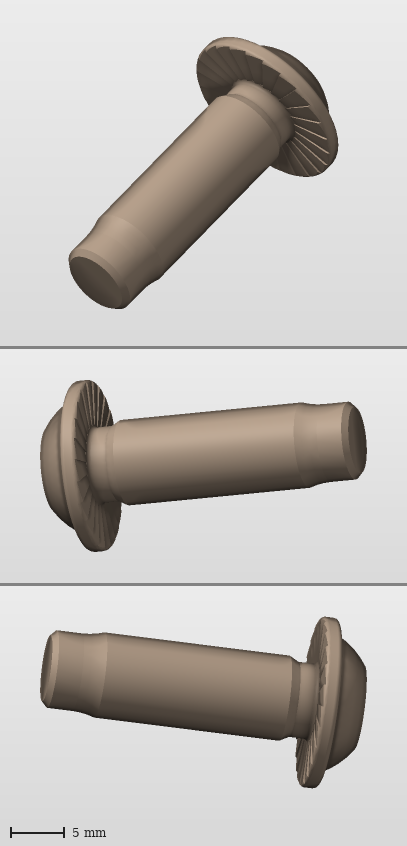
import cadquery as cq
import math

total_length = 29.6
head_height = 4.6
tip_y = head_height - total_length

flange_diameter = 16.0
flange_radius = flange_diameter / 2
flange_thickness = 1.6
flange_edge_radius = 0.45
dome_base_radius = 6.5
dome_top_radius = 3.97

tooth_count = 24
tooth_depth_at_rim = 0.192
seat_dish_height = 0.27

shank_radius = 4.0
neck_radius = 3.52
neck_length = 1.6
neck_cone_length = 0.9
neck_fillet_radius = 0.35
neck_fillet_end = 0.18

tip_radius = 3.65
tip_length = 2.9
tip_chamfer = 0.53
flare_length = 2.13


def make_head():
    """Flange and dome revolved about Y, with both flange rims rounded."""
    dome_height = head_height - flange_thickness
    centre_height = (dome_top_radius**2 + dome_height**2 - dome_base_radius**2) / (2 * dome_height)
    sphere_radius = math.hypot(dome_base_radius, centre_height)
    middle_height = dome_height / 2
    middle_radius = math.sqrt(sphere_radius**2 - (middle_height - centre_height) ** 2)

    flange = (
        cq.Workplane("XZ")
        .circle(flange_radius)
        .extrude(-flange_thickness)
        .edges()
        .fillet(flange_edge_radius)
    )
    dome = (
        cq.Workplane("XY")
        .moveTo(0, flange_thickness)
        .lineTo(dome_base_radius, flange_thickness)
        .threePointArc((middle_radius, flange_thickness + middle_height), (dome_top_radius, head_height))
        .lineTo(0, head_height)
        .close()
        .revolve(360, (0, 0, 0), (0, 1, 0))
    )
    return flange.union(dome)


def make_tooth_gap():
    """Sector in front of one sloping tooth face, crest to step foot, clockwise seen from the tip."""
    reach = flange_diameter
    crest_drop = seat_dish_height * reach / (flange_radius - flange_edge_radius)
    crest_y = seat_dish_height - crest_drop
    root_y = crest_y + tooth_depth_at_rim * reach / flange_radius
    pitch = 2 * math.pi / tooth_count

    apex = cq.Vector(0, seat_dish_height, 0)
    crest = cq.Vector(0, crest_y, reach)
    root = cq.Vector(reach * math.sin(pitch), root_y, reach * math.cos(pitch))
    tooth_face = cq.Face.makeFromWires(cq.Wire.makePolygon([apex, crest, root], close=True))
    clearance = cq.Vector(0, -head_height, 0)
    return cq.Workplane(obj=cq.Solid.extrudeLinear(tooth_face, clearance))


def cut_serrations(head):
    """Ring of tooth faces around the seat."""
    gap = make_tooth_gap()
    for index in range(tooth_count):
        head = head.cut(gap.rotate((0, 0, 0), (0, 1, 0), index * 360 / tooth_count))
    return head


def make_shank():
    """Neck, shank and tip revolved about Y, rooted inside the flange through the neck fillet."""
    root_y = flange_thickness / 2
    fillet_start_y = neck_fillet_radius - neck_fillet_end
    fillet_foot_radius = neck_radius + neck_fillet_radius
    cone_end_y = -neck_length - neck_cone_length
    flare_end_y = tip_y + tip_length

    return (
        cq.Workplane("XY")
        .moveTo(0, tip_y)
        .lineTo(tip_radius - tip_chamfer, tip_y)
        .lineTo(tip_radius, tip_y + tip_chamfer)
        .lineTo(tip_radius, flare_end_y)
        .tangentArcPoint((shank_radius, flare_end_y + flare_length), relative=False)
        .lineTo(shank_radius, cone_end_y)
        .lineTo(neck_radius, -neck_length)
        .lineTo(neck_radius, -neck_fillet_end)
        .tangentArcPoint((fillet_foot_radius, fillet_start_y), relative=False)
        .lineTo(fillet_foot_radius, root_y)
        .lineTo(0, root_y)
        .close()
        .revolve(360, (0, 0, 0), (0, 1, 0))
    )


result = cut_serrations(make_head()).union(make_shank())